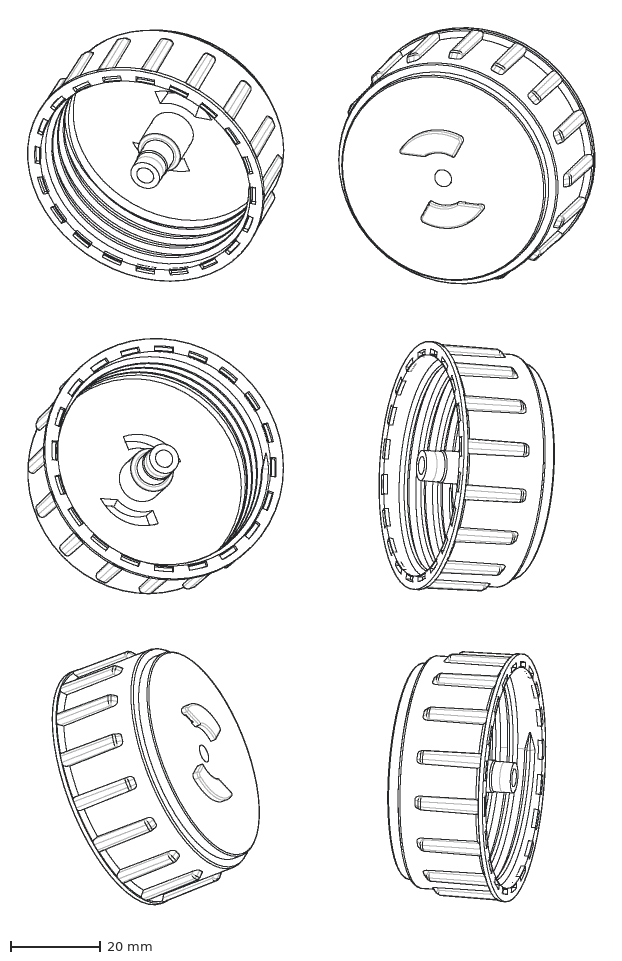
import cadquery as cq
import math


cap_height = 23.0
cap_radius = 24.35
cap_edge_chamfer = 0.3
shoulder_top_y = 20.5
shoulder_edge_y = 20.1
shoulder_chamfer = 0.5
body_radius = 26.2
rim_radius = 27.9
rim_thickness = 1.0
rim_cone_radius = 27.5
rim_cone_top_y = 2.0

bore_radius = 24.9
seat_radius = 23.6
floor_radius = 23.5
seat_y = 16.0
floor_y = 18.9

spigot_radius = 5.0
spigot_step_y = 9.85
spigot_edge_chamfer = 0.15
collar_radius = 4.1
collar_y = 9.3
neck_radius = 3.65
neck_top_y = 9.2
neck_end_y = 4.8
tip_radius = 3.45
tip_step_y = 4.35
tip_taper_y = 2.45
tip_end_radius = 3.4
spigot_bore_radius = 2.0

rib_count = 16
rib_root_radius = 25.5
rib_bottom_radius = 27.75
rib_top_radius = 27.6
rib_shoulder_y = 14.5
rib_nose_radius = 27.3
rib_nose_y = 15.1
rib_top_y = 16.1
rib_bottom_width = 3.3
rib_top_width = 3.0
rib_edge_fillet = 0.9

pocket_count = 20
pocket_inner_radius = 25.1
pocket_outer_radius = 26.2
pocket_width = 4.4
pocket_depth = 1.0

thread_pitch = 4.0
thread_turns = 3.5
thread_start_y = 2.9
thread_crest_radius = 23.7
thread_crest_width = 0.8
thread_root_width = 2.6
thread_overlap = 0.2
runout_angle = 10.0
runout_size = 0.05

hood_height = 1.5
hood_outer_radius = 11.5
hood_inner_radius = 6.4
hood_flat_z = 5.05
hood_end_angle = 117.0
hood_corner_fillet = 1.0
hood_tip_fillet = 0.6
hood_edge_fillet = 0.4
vent_outer_radius = 10.6
vent_inner_radius = 7.4
vent_flat_z = 5.0
vent_end_angle = 112.5
vent_draft = 0.45
vent_ceiling_y = 23.35
slit_left_x = 5.5
slit_right_x = 8.5
slit_depth = 1.0


def polar(radius, angle):
    """Point at the given radius and angle in degrees."""
    turn = math.radians(angle)
    return (radius * math.cos(turn), radius * math.sin(turn))


def make_shell():
    """Outer shell with its stepped cavity, turned about the Y axis."""
    outside = (
        cq.Workplane("XY")
        .polyline([
            (0, 0),
            (rim_radius, 0),
            (rim_radius, rim_thickness),
            (rim_cone_radius, rim_thickness),
            (body_radius, rim_cone_top_y),
            (body_radius, shoulder_edge_y - shoulder_chamfer),
            (body_radius - shoulder_chamfer / 2, shoulder_edge_y),
            (cap_radius, shoulder_top_y),
            (cap_radius, cap_height - cap_edge_chamfer),
            (cap_radius - cap_edge_chamfer, cap_height),
            (0, cap_height),
        ])
        .close()
        .revolve(360, (0, 0), (0, 1))
    )
    cavity = (
        cq.Workplane("XY")
        .polyline([
            (0, 0),
            (bore_radius, 0),
            (bore_radius, seat_y),
            (seat_radius, seat_y),
            (floor_radius, floor_y),
            (0, floor_y),
        ])
        .close()
        .revolve(360, (0, 0), (0, 1))
    )
    return outside.cut(cavity)


def make_spigot():
    """Stepped spigot from the cavity floor down to the rim plane."""
    return (
        cq.Workplane("XY")
        .polyline([
            (0, 0),
            (tip_end_radius, 0),
            (tip_radius, tip_taper_y),
            (tip_radius, tip_step_y),
            (neck_radius, neck_end_y),
            (neck_radius, neck_top_y),
            (collar_radius, collar_y),
            (spigot_radius - spigot_edge_chamfer, spigot_step_y - spigot_edge_chamfer),
            (spigot_radius, spigot_step_y),
            (spigot_radius, floor_y),
            (0, floor_y),
        ])
        .close()
        .revolve(360, (0, 0), (0, 1))
    )


def make_rib():
    """Grip rib on the +X side, narrowing and leaning in toward the closed end."""
    side = (
        cq.Workplane("XY")
        .polyline([
            (rib_root_radius, rim_thickness),
            (rib_bottom_radius, rim_thickness),
            (rib_top_radius, rib_shoulder_y),
            (rib_nose_radius, rib_nose_y),
            (body_radius, rib_top_y),
            (rib_root_radius, rib_top_y),
        ])
        .close()
        .extrude(rib_bottom_width / 2, both=True)
    )
    face = (
        cq.Workplane("YZ")
        .polyline([
            (rim_thickness, -rib_bottom_width / 2),
            (rib_top_y, -rib_top_width / 2),
            (rib_top_y, rib_top_width / 2),
            (rim_thickness, rib_bottom_width / 2),
        ])
        .close()
        .extrude(rim_radius)
    )
    crest = cq.selectors.BoxSelector(
        (body_radius - 0.1, rim_thickness + 0.1, -rib_bottom_width),
        (rim_radius, rib_top_y + 0.1, rib_bottom_width),
    )
    rib = side.intersect(face)
    return rib.edges(crest).edges("not #Y").edges("not |Z").fillet(rib_edge_fillet)


def make_rim_pocket():
    """Cutter for one shallow pocket in the rim face, on the +X side."""
    ring = (
        cq.Workplane("XZ")
        .circle(pocket_outer_radius)
        .circle(pocket_inner_radius)
        .extrude(-pocket_depth)
    )
    window = cq.Workplane("XY").box(rim_radius, pocket_depth, pocket_width, centered=(False, False, True))
    return ring.intersect(window)


def around_axis(shape, count):
    """Copies of a shape spread evenly around the Y axis, as one compound."""
    copies = [
        shape.val().rotate(cq.Vector(0, 0, 0), cq.Vector(0, 1, 0), i * 360.0 / count)
        for i in range(count)
    ]
    return cq.Workplane(obj=cq.Compound.makeCompound(copies))


def make_thread():
    """Right-hand internal thread with a tapered start, turned about Z and tipped onto Y."""
    root_radius = bore_radius + thread_overlap
    section = [
        (root_radius, -thread_root_width / 2),
        (thread_crest_radius, -thread_crest_width / 2),
        (thread_crest_radius, thread_crest_width / 2),
        (root_radius, thread_root_width / 2),
    ]
    height = thread_pitch * thread_turns
    helix = cq.Wire.makeHelix(thread_pitch, height, bore_radius)
    ridge = cq.Workplane("XZ").polyline(section).close().sweep(cq.Workplane(obj=helix), isFrenet=True)

    start = [cq.Vector(r, 0, z) for r, z in section]
    start_wire = cq.Wire.makePolygon(start, close=True)
    drop = thread_pitch * runout_angle / 360.0
    point = [
        cq.Vector(root_radius, 0, -runout_size),
        cq.Vector(root_radius - runout_size, 0, -runout_size),
        cq.Vector(root_radius - runout_size, 0, runout_size),
        cq.Vector(root_radius, 0, runout_size),
    ]
    point_wire = (
        cq.Wire.makePolygon(point, close=True)
        .rotate(cq.Vector(0, 0, 0), cq.Vector(0, 0, 1), -runout_angle)
        .translate(cq.Vector(0, 0, -drop))
    )
    runout = cq.Workplane(obj=cq.Solid.makeLoft([start_wire, point_wire], True))
    thread = ridge.union(runout)
    return thread.rotate((0, 0, 0), (1, 0, 0), -90).translate((0, thread_start_y, 0))


def arc_outline(plane, outer, inner, flat_z, end_angle):
    """Band between two radii, from a radial end to a flat end at constant Z."""
    outer_flat = math.degrees(math.asin(flat_z / outer))
    inner_flat = math.degrees(math.asin(flat_z / inner))
    return (
        plane.moveTo(*polar(outer, outer_flat))
        .threePointArc(polar(outer, (outer_flat + end_angle) / 2), polar(outer, end_angle))
        .lineTo(*polar(inner, end_angle))
        .threePointArc(polar(inner, (inner_flat + end_angle) / 2), polar(inner, inner_flat))
        .close()
    )


def make_hood():
    """Raised hood over the upper vent."""
    plane = cq.Workplane("XZ", origin=(0, cap_height, 0))
    hood = arc_outline(plane, hood_outer_radius, hood_inner_radius, hood_flat_z, hood_end_angle).extrude(-hood_height)
    hood = hood.edges("|Y").edges("<X").fillet(hood_corner_fillet)
    hood = hood.edges("|Y").edges(">X").fillet(hood_tip_fillet)
    return hood.faces(">Y").edges().fillet(hood_edge_fillet)


def make_vent():
    """Cutter for the upper vent: drafted pocket under the hood and its outlet slit."""
    mouth = cq.Workplane("XZ", origin=(0, floor_y, 0))
    mouth = arc_outline(mouth, vent_outer_radius, vent_inner_radius, vent_flat_z, vent_end_angle)
    end_draft = math.degrees(vent_draft / vent_outer_radius)
    vent = arc_outline(
        mouth.workplane(offset=floor_y - vent_ceiling_y),
        vent_outer_radius - vent_draft,
        vent_inner_radius,
        vent_flat_z + vent_draft,
        vent_end_angle - end_draft,
    ).loft(ruled=True, combine=True)
    slit = cq.Workplane("XY").box(
        slit_right_x - slit_left_x,
        vent_ceiling_y - cap_height,
        slit_depth,
        centered=False,
    ).translate((slit_left_x, cap_height, hood_flat_z))
    return vent.union(slit)


body = make_shell().union(make_thread()).union(make_spigot()).union(around_axis(make_rib(), rib_count))
body = body.union(around_axis(make_rib(), rib_count))
hood = make_hood()
vent = make_vent()
for angle in (0, 180):
    body = body.union(hood.rotate((0, 0, 0), (0, 1, 0), angle))
    body = body.cut(vent.rotate((0, 0, 0), (0, 1, 0), angle))
body = body.cut(around_axis(make_rim_pocket(), pocket_count))
spigot_bore = cq.Workplane("XZ").circle(spigot_bore_radius).extrude(-cap_height)
result = body.cut(spigot_bore)